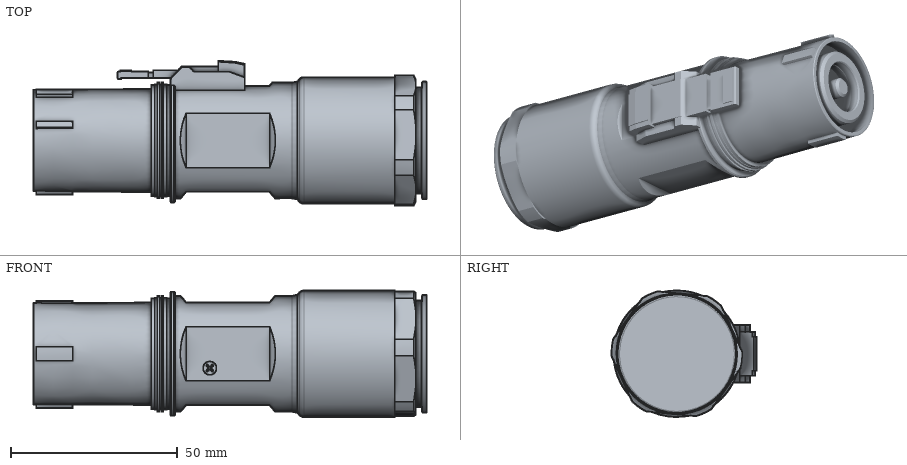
import cadquery as cq
import math


TOTAL_LENGTH = 118.1
LATCH_TOP_Y = 23.93

BARREL_FRONT_RADIUS = 15.25
BARREL_REAR_RADIUS = 15.5
BARREL_CHAMFER = 0.2
BARREL_END = 35.4

WELL_RADIUS = 14.0
WELL_DEPTH = 4.9
INSULATOR_RADIUS = 11.0
INSULATOR_CHAMFER = 0.8
SOCKET_MOUTH_RADIUS = 7.85
SOCKET_MOUTH_DEPTH = 0.4
SOCKET_RADIUS = 7.6
SOCKET_STEP_RADIUS = 7.3
SOCKET_STEP_DEPTH = 3.0
SOCKET_DEPTH = 5.4
PIN_RADIUS = 2.9
PIN_TIP_RADIUS = 2.2
PIN_RECESS = 0.3

KEYS = [(26.0, 3.3), (72.6, 2.0), (180.0, 4.1), (270.0, 4.1)]
KEY_RADIUS = 16.3
KEY_START = 0.9
KEY_END = 11.9

COLLAR_RADIUS = 16.7
COLLAR_EDGES = (36.5, 40.1)
COLLAR_STEP = 0.15
SEAL_RADIUS = 17.4
SEAL_RINGS = [(37.65, 0.7), (38.85, 0.4)]
FLANGE_RADIUS = 18.65
FLANGE_START = 41.1
FLANGE_WIDTH = 1.5
FLANGE_CHAMFER = 0.35

BODY_RADIUS = 17.4
BODY_END = 77.6
FLAT_DISTANCE = 15.4
FLAT_START = 45.9
FLAT_END = 70.9
RAMP_ANGLE = 49
LATCH_FLAT_DISTANCE = 16.4
FLAT_ANGLES = [90, 180, 270]

MARK_X = 53.0
MARK_Z = -4.3
MARK_RADIUS = 2.0
MARK_DEPTH = 0.15
MARK_BAR_LENGTH = 2.6
MARK_BAR_WIDTH = 0.5
MARK_BAR_ANGLES = [45, 135]

NECK_RADIUS = 17.7
NECK_END = 79.2
SHOULDER_X = 79.8
SHOULDER_RADIUS = 18.3
SLEEVE_RADIUS = 19.0
SLEEVE_FULL_X = 81.2
SLEEVE_END = 108.5

NUT_RADIUS = 19.6
NUT_APOTHEM = 18.1
NUT_END = 114.8
NUT_CHAMFER_LENGTH = 0.7
NUT_CHAMFER_DEPTH = 1.5
NUT_FLAT_ANGLE = 24.5
NUT_FLATS = 6

SEAT_RADIUS = 15.3
REAR_SEAL_RADIUS = 16.0
REAR_SEAL_FILLET = 0.5
LIP_RADIUS = 17.7
LIP_START = 116.6
LIP_FILLET = 0.5

CHEEK_WIDTH = 17.3
CHEEK_START = 41.3
CHEEK_END = 63.5
CHEEK_CREST_Y = 22.0
CHEEK_RIM_Y = 20.6
CHEEK_REAR_Y = 18.9
LEVER_WIDTH = 12.0
LEVER_BOTTOM_Y = 18.7
LEVER_FRONT_Y = 21.1
CREST_START = CHEEK_START + CHEEK_CREST_Y - LEVER_BOTTOM_Y
CREST_LENGTH = 2.3
REAR_SLOPE_LENGTH = 4.6
LEVER_CREST_Y = 22.2
BUTTON_START = 55.5
BUTTON_END = 63.4
BUTTON_WIDTH = 13.2
BUTTON_BEND = 5.0
BUTTON_BEND_DROP = 0.3
BUTTON_REAR_DROP = 0.9
CROWN_WIDTH = 10.2
CROWN_HEIGHT = 0.35
TONGUE_START = 25.3
TONGUE_TOP_Y = 20.7
TONGUE_ROUND = 0.5
TIP_LENGTH = 1.1
TIP_DROP = 0.3
PAD_START = 26.2
PAD_END = 29.5
PAD_WIDTH = 10.0
NOTCH_START = 34.6
NOTCH_END = 36.0
NOTCH_DEPTH = 0.6
WAIST_TOP_Y = 20.4


def revolve_profile(points):
    """Turn an (x, radius) outline about the X axis."""
    return cq.Workplane("XY").polyline(points).close().revolve(360, (0, 0, 0), (1, 0, 0))


def cylinder(start, end, radius):
    return cq.Workplane("YZ", origin=(start, 0, 0)).circle(radius).extrude(end - start)


def prism_in_z(points, width):
    """Extrude an (x, y) outline symmetrically about Z = 0."""
    return cq.Workplane("XY").polyline(points).close().extrude(width / 2, both=True)


def block_in_z(start, end, bottom, top, width):
    """Rectangular block spanning start..end in X and bottom..top in Y, centred on Z = 0."""
    return prism_in_z([(start, bottom), (end, bottom), (end, top), (start, top)], width)


def turn_about_axis(shape, angle):
    return shape.rotate((0, 0, 0), (1, 0, 0), angle)


def make_barrel():
    barrel = revolve_profile([
        (0, 0),
        (0, BARREL_FRONT_RADIUS),
        (BARREL_END, BARREL_REAR_RADIUS),
        (BARREL_END, 0),
    ])
    barrel = barrel.faces("<X").chamfer(BARREL_CHAMFER)
    for angle, width in KEYS:
        key = block_in_z(KEY_START, KEY_END, 0, KEY_RADIUS, width)
        key = key.intersect(cylinder(KEY_START, KEY_END, KEY_RADIUS))
        barrel = barrel.union(turn_about_axis(key, angle))
    return barrel


def make_plug_face_cut():
    """Well around the insulator plus the stepped socket around the pin."""
    well = cylinder(0, WELL_DEPTH, WELL_RADIUS)
    insulator = cylinder(0, WELL_DEPTH, INSULATOR_RADIUS)
    insulator = insulator.faces("<X").chamfer(INSULATOR_CHAMFER)
    socket = revolve_profile([
        (0, 0),
        (0, SOCKET_MOUTH_RADIUS),
        (SOCKET_MOUTH_DEPTH, SOCKET_RADIUS),
        (SOCKET_STEP_DEPTH, SOCKET_RADIUS),
        (SOCKET_STEP_DEPTH, SOCKET_STEP_RADIUS),
        (SOCKET_DEPTH, SOCKET_STEP_RADIUS),
        (SOCKET_DEPTH, 0),
    ])
    pin = cylinder(PIN_RECESS, SOCKET_DEPTH, PIN_RADIUS)
    pin = pin.faces("<X").chamfer(PIN_RADIUS - PIN_TIP_RADIUS)
    return well.cut(insulator).union(socket).cut(pin)


def make_collar():
    collar = cylinder(BARREL_END, FLANGE_START, COLLAR_RADIUS)
    raised_start, raised_end = COLLAR_EDGES
    collar = collar.union(cylinder(raised_start, raised_end, COLLAR_RADIUS + COLLAR_STEP))
    for middle, width in SEAL_RINGS:
        collar = collar.union(cylinder(middle - width / 2, middle + width / 2, SEAL_RADIUS))
    flange = cylinder(FLANGE_START, FLANGE_START + FLANGE_WIDTH, FLANGE_RADIUS)
    return collar.union(flange.edges().chamfer(FLANGE_CHAMFER))


def make_flat_cut(angle, distance):
    """Flat across the round body with a ramp at each end."""
    run = (FLANGE_RADIUS - distance) / math.tan(math.radians(RAMP_ANGLE))
    outline = [
        (FLAT_START, distance),
        (FLAT_END, distance),
        (FLAT_END + run, FLANGE_RADIUS),
        (FLAT_START - run, FLANGE_RADIUS),
    ]
    return turn_about_axis(prism_in_z(outline, 2 * BODY_RADIUS), angle)


def make_body():
    body = cylinder(FLANGE_START + FLANGE_WIDTH, BODY_END, BODY_RADIUS)
    for angle in FLAT_ANGLES:
        body = body.cut(make_flat_cut(angle, FLAT_DISTANCE))
    return body.cut(make_flat_cut(0, LATCH_FLAT_DISTANCE))


def make_mark_cut():
    """Shallow disc with a deeper cross in its floor."""
    face = cq.Workplane("XZ", origin=(MARK_X, -FLAT_DISTANCE, MARK_Z))
    mark = face.circle(MARK_RADIUS).extrude(-MARK_DEPTH)
    for angle in MARK_BAR_ANGLES:
        bar = face.transformed(rotate=(0, 0, angle)).rect(MARK_BAR_LENGTH, MARK_BAR_WIDTH)
        mark = mark.union(bar.extrude(-2 * MARK_DEPTH))
    return mark


def make_sleeve():
    run = SLEEVE_FULL_X - SHOULDER_X
    rise = SLEEVE_RADIUS - SHOULDER_RADIUS
    round_radius = (run**2 + rise**2) / (2 * rise)
    half_angle = math.asin(run / round_radius) / 2
    mid_x = SLEEVE_FULL_X - round_radius * math.sin(half_angle)
    mid_radius = SLEEVE_RADIUS - round_radius * (1 - math.cos(half_angle))
    return (
        cq.Workplane("XY")
        .moveTo(BODY_END, 0)
        .lineTo(BODY_END, BODY_RADIUS)
        .lineTo(NECK_END, NECK_RADIUS)
        .lineTo(SHOULDER_X, SHOULDER_RADIUS)
        .threePointArc((mid_x, mid_radius), (SLEEVE_FULL_X, SLEEVE_RADIUS))
        .lineTo(SLEEVE_END, SLEEVE_RADIUS)
        .lineTo(SLEEVE_END, 0)
        .close()
        .revolve(360, (0, 0, 0), (1, 0, 0))
    )


def make_nut():
    turned = revolve_profile([
        (SLEEVE_END, 0),
        (SLEEVE_END, NUT_RADIUS),
        (NUT_END - NUT_CHAMFER_LENGTH, NUT_RADIUS),
        (NUT_END, NUT_RADIUS - NUT_CHAMFER_DEPTH),
        (NUT_END, 0),
    ])
    corner_radius = NUT_APOTHEM / math.cos(math.pi / NUT_FLATS)
    hexagon = cq.Workplane("YZ", origin=(SLEEVE_END, 0, 0)).polygon(NUT_FLATS, 2 * corner_radius)
    hexagon = hexagon.extrude(NUT_END - SLEEVE_END)
    corner_angle = NUT_FLAT_ANGLE + 180 / NUT_FLATS
    return turned.intersect(turn_about_axis(hexagon, corner_angle))


def make_rear_lip():
    lip = cylinder(LIP_START, TOTAL_LENGTH, LIP_RADIUS).edges().fillet(LIP_FILLET)
    seat = cylinder(NUT_END, LIP_START, SEAT_RADIUS)
    seal = cylinder(NUT_END, LIP_START, REAR_SEAL_RADIUS).edges().fillet(REAR_SEAL_FILLET)
    return seat.union(seal).union(lip)


def make_cheeks():
    """Pair of side walls in one block, with a crest in front and a lower rim behind it."""
    crest_end = CREST_START + CREST_LENGTH
    rim_start = crest_end + CHEEK_CREST_Y - CHEEK_RIM_Y
    rim_end = CHEEK_END - REAR_SLOPE_LENGTH
    return prism_in_z([
        (CHEEK_START, 0),
        (CHEEK_START, LEVER_BOTTOM_Y),
        (CREST_START, CHEEK_CREST_Y),
        (crest_end, CHEEK_CREST_Y),
        (rim_start, CHEEK_RIM_Y),
        (rim_end, CHEEK_RIM_Y),
        (CHEEK_END, CHEEK_REAR_Y),
        (CHEEK_END, 0),
    ], CHEEK_WIDTH)


def make_lever():
    """Raised middle of the lever between the cheeks, ending under the button."""
    return prism_in_z([
        (NOTCH_END, LEVER_BOTTOM_Y),
        (NOTCH_END, LEVER_FRONT_Y),
        (CREST_START - LEVER_CREST_Y + LEVER_FRONT_Y, LEVER_FRONT_Y),
        (CREST_START, LEVER_CREST_Y),
        (BUTTON_START, LEVER_CREST_Y),
        (BUTTON_START, LEVER_BOTTOM_Y),
    ], LEVER_WIDTH)


def make_tongue():
    """Free end of the lever: slab with a rounded tip, thumb pad and a waist next to the lever."""
    tip_end = TONGUE_START + TIP_LENGTH
    slab = prism_in_z([
        (TONGUE_START, LEVER_BOTTOM_Y - TIP_DROP),
        (tip_end, LEVER_BOTTOM_Y - TIP_DROP),
        (tip_end, LEVER_BOTTOM_Y),
        (NOTCH_START, LEVER_BOTTOM_Y),
        (NOTCH_START, TONGUE_TOP_Y),
        (TONGUE_START, TONGUE_TOP_Y),
    ], LEVER_WIDTH)
    slab = slab.edges("|Z and <X").fillet(TONGUE_ROUND)
    pad = block_in_z(PAD_START, PAD_END, LEVER_BOTTOM_Y, LEVER_FRONT_Y, PAD_WIDTH)
    waist_width = LEVER_WIDTH - 2 * NOTCH_DEPTH
    waist = block_in_z(NOTCH_START, NOTCH_END, LEVER_BOTTOM_Y, WAIST_TOP_Y, waist_width)
    return slab.union(pad).union(waist)


def make_button():
    """Push button with a narrower crown on top; both slope down toward the rear."""
    def outline(top):
        return [
            (BUTTON_START, LEVER_BOTTOM_Y),
            (BUTTON_START, top),
            (BUTTON_START + BUTTON_BEND, top - BUTTON_BEND_DROP),
            (BUTTON_END, top - BUTTON_REAR_DROP),
            (BUTTON_END, LEVER_BOTTOM_Y),
        ]
    crown = prism_in_z(outline(LATCH_TOP_Y), CROWN_WIDTH)
    return crown.union(prism_in_z(outline(LATCH_TOP_Y - CROWN_HEIGHT), BUTTON_WIDTH))


def make_latch():
    return make_cheeks().union(make_lever()).union(make_tongue()).union(make_button())


result = (
    make_barrel()
    .union(make_collar())
    .union(make_body())
    .union(make_sleeve())
    .union(make_nut())
    .union(make_rear_lip())
    .union(make_latch())
    .cut(make_plug_face_cut())
    .cut(make_mark_cut())
)